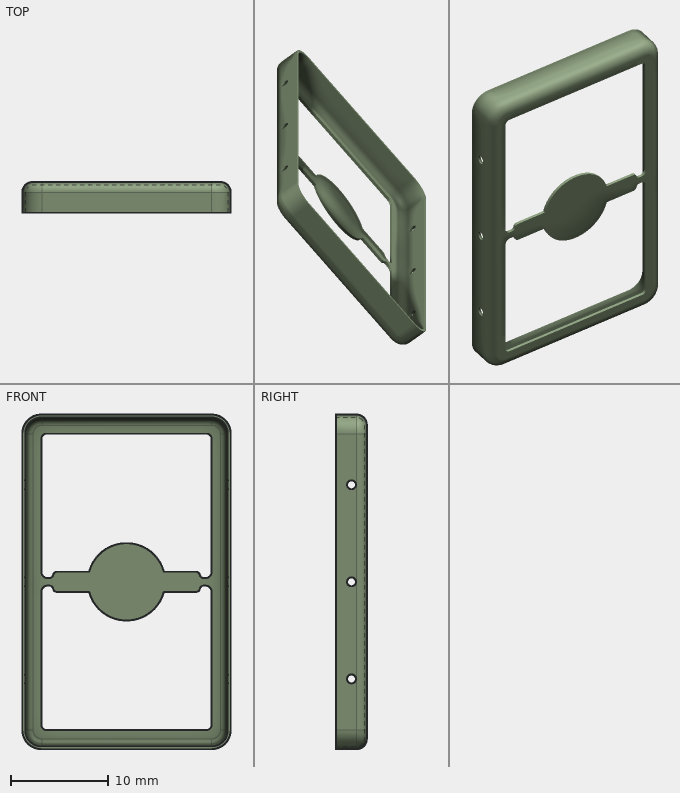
import cadquery as cq
import math

width = 21.5
depth = 3.2
height = 34.5
wall = 0.3
corner_radius = 2.0
floor_edge_radius = 1.1

window_margin = 2.0
window_corner_radius = 0.5

neck_height = 0.8
neck_flat = 0.2
root_radius = 0.6
step_radius = 0.4
bar_height = 2.1
bridge_anchor = 0.5
disc_radius = 4.0

side_hole_diameter = 0.9
side_hole_pitch = 10.0
side_hole_count = 3

open_y = -depth / 2
floor_y = depth / 2
window_width = width - 2 * window_margin
window_height = height - 2 * window_margin


def rounded_block(inset, y_start, y_end):
    """Block inset from the outer outline, with rounded corners and a rounded +Y edge."""
    return (
        cq.Workplane("XZ", origin=(0, y_end, 0))
        .rect(width - 2 * inset, height - 2 * inset)
        .extrude(y_end - y_start)
        .edges("|Y")
        .fillet(corner_radius - inset)
        .faces(">Y")
        .edges()
        .fillet(floor_edge_radius - inset)
    )


def make_tray():
    outside = rounded_block(0, open_y, floor_y)
    cavity = rounded_block(wall, open_y, floor_y - wall)
    return outside.cut(cavity)


def make_window_opening():
    return (
        cq.Workplane("XZ", origin=(0, floor_y, 0))
        .rect(window_width, window_height)
        .extrude(wall)
        .edges("|Y")
        .fillet(window_corner_radius)
    )


def make_bridge_quarter():
    """The +X, +Z quarter of the bar and neck, with the rounded notch beside the frame."""
    frame_x = window_width / 2
    anchor_x = frame_x + bridge_anchor
    bar_top = bar_height / 2
    neck_top = neck_height / 2
    root_top = neck_top + root_radius
    root_x = frame_x - root_radius
    step_x = root_x - neck_flat
    step_height = bar_top - neck_top
    step_angle = math.acos(1 - step_height / (2 * step_radius))
    step_length = 2 * step_radius * math.sin(step_angle)
    step_middle = (step_x - step_length / 2, neck_top + step_height / 2)
    return (
        cq.Workplane("XZ", origin=(0, floor_y, 0))
        .lineTo(0, bar_top)
        .lineTo(step_x - step_length, bar_top)
        .tangentArcPoint(step_middle, relative=False)
        .tangentArcPoint((step_x, neck_top), relative=False)
        .lineTo(root_x, neck_top)
        .tangentArcPoint((frame_x, root_top), relative=False)
        .lineTo(anchor_x, root_top)
        .lineTo(anchor_x, 0)
        .close()
        .extrude(wall)
    )


def make_bridge():
    """Disc carried by a bar and two thin necks."""
    quarter = make_bridge_quarter()
    half = quarter.union(quarter.mirror("XY"))
    disc = cq.Workplane("XZ", origin=(0, floor_y, 0)).circle(disc_radius).extrude(wall)
    return half.union(half.mirror("YZ")).union(disc)


def make_side_holes():
    return (
        cq.Workplane("YZ")
        .rarray(1, side_hole_pitch, 1, side_hole_count)
        .circle(side_hole_diameter / 2)
        .extrude(width / 2, both=True)
    )


tray = make_tray().cut(make_window_opening())
result = tray.union(make_bridge()).cut(make_side_holes())